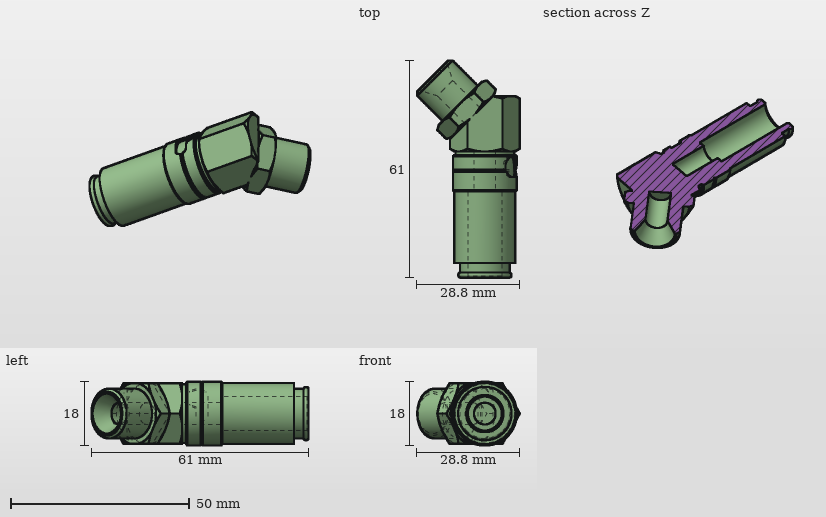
import cadquery as cq
import math

LIP_RADIUS = 7.5
LIP_END = 1.5
LIP_ROUND = LIP_END / 2
NECK_RADIUS = 7.0
NECK_END = 4.1
SLEEVE_RADIUS = 8.6
SLEEVE_END = 24.2
COLLAR_DIAMETER = 18.0
COLLAR_RADIUS = COLLAR_DIAMETER / 2
COLLAR_END = 34.4
COLLAR_CHAMFER = COLLAR_RADIUS - SLEEVE_RADIUS
COLLAR_GROOVE_PLACE = 30.0
THROAT_RADIUS = 8.3

HEX_FLATS = 17.0
HEX_CORNERS = HEX_FLATS / math.cos(math.pi / 6)
HEX_END_RADIUS = 8.6
HEX_CHAMFER_ANGLE = math.radians(30)
BODY_START = 35.5
BODY_END = 51.0

BEND_Y = 42.0
BEND_ANGLE = math.radians(45)
NUT_START = 4.75
NUT_END = 9.75
TUBE_RADIUS = 7.0
TUBE_CHAMFER = 0.85
TUBE_END = 20.7

BORE_RADIUS = 4.75
BORE_CHAMFER = 0.5
BORE_DEPTH = SLEEVE_END
PASSAGE_RADIUS = 3.05
PASSAGE_END = BODY_START
CONE_MOUTH_RADIUS = 5.6
CONE_DEPTH = 4.9

WINDOW_RADIUS = 2.9
WINDOW_Y = 31.2
WINDOW_ANGLE = 31
SLOT_RADIUS = 1.7
SLOT_Y = WINDOW_Y - WINDOW_RADIUS + SLOT_RADIUS
SLOT_END_ANGLE = -2

ANGLED_AXIS = cq.Vector(-math.sin(BEND_ANGLE), math.cos(BEND_ANGLE), 0)
STRAIGHT_PLANE = cq.Plane(origin=(0, 0, 0), xDir=(1, 0, 0), normal=(0, 1, 0))
ANGLED_PLANE = cq.Plane(origin=(0, BEND_Y, 0), xDir=(0, 0, 1), normal=ANGLED_AXIS.toTuple())


def disc(plane, start, end, radius):
    """Cylinder on the axis of a plane, between two distances along that axis."""
    return cq.Workplane(plane).workplane(offset=start).circle(radius).extrude(end - start)


def cone(plane, start, end, start_radius, end_radius):
    """Truncated cone on the axis of a plane, between two distances along that axis."""
    base = plane.toWorldCoords((0, 0, start))
    return cq.Workplane(cq.Solid.makeCone(start_radius, end_radius, end - start, base, plane.zDir))


def chamfered_hex(plane, start, end, corner_turn):
    """Hexagonal prism whose corners are coned off at both ends."""
    outer_radius = HEX_CORNERS / 2
    cone_height = (outer_radius - HEX_END_RADIUS) * math.tan(HEX_CHAMFER_ANGLE)
    prism = (
        cq.Workplane(plane)
        .workplane(offset=start)
        .transformed(rotate=(0, 0, corner_turn))
        .polygon(6, HEX_CORNERS)
        .extrude(end - start)
    )
    envelope = (
        disc(plane, start + cone_height, end - cone_height, outer_radius)
        .union(cone(plane, start, start + cone_height, HEX_END_RADIUS, outer_radius))
        .union(cone(plane, end - cone_height, end, outer_radius, HEX_END_RADIUS))
    )
    return prism.intersect(envelope)


def straight_leg():
    """Lip, neck, sleeve, grooved collar and throat turned about the Y axis."""
    leg = rounded_lip().union(disc(STRAIGHT_PLANE, LIP_END / 2, NECK_END, NECK_RADIUS))
    leg = leg.union(disc(STRAIGHT_PLANE, NECK_END, SLEEVE_END, SLEEVE_RADIUS))
    leg = leg.union(grooved_collar())
    return leg.union(disc(STRAIGHT_PLANE, SLEEVE_END, BODY_START, THROAT_RADIUS))


def rounded_lip():
    """Flat disc at the open end with a fully rounded rim."""
    return (
        cq.Workplane("XY")
        .lineTo(LIP_RADIUS - LIP_ROUND, 0)
        .radiusArc((LIP_RADIUS, LIP_ROUND), -LIP_ROUND)
        .radiusArc((LIP_RADIUS - LIP_ROUND, LIP_END), -LIP_ROUND)
        .lineTo(0, LIP_END)
        .close()
        .revolve(360, (0, 0, 0), (0, 1, 0))
    )


def radial_hole(y, angle, radius):
    """Cylinder pointing outward from the Y axis at an angle above +X."""
    turn = math.radians(angle)
    plane = cq.Plane(origin=(0, y, 0), xDir=(0, 1, 0), normal=(math.cos(turn), 0, math.sin(turn)))
    return disc(plane, 0, COLLAR_DIAMETER, radius)


def keyhole():
    """Cutter for the round window and the slot with a round end that leads away from it."""
    slot_sweep = (
        cq.Workplane("XY")
        .moveTo(COLLAR_RADIUS, SLOT_Y)
        .rect(COLLAR_DIAMETER, 2 * SLOT_RADIUS)
        .revolve(WINDOW_ANGLE - SLOT_END_ANGLE, (0, 0, 0), (0, -1, 0))
        .rotate((0, 0, 0), (0, 1, 0), -SLOT_END_ANGLE)
    )
    window = radial_hole(WINDOW_Y, WINDOW_ANGLE, WINDOW_RADIUS)
    slot_end = radial_hole(SLOT_Y, SLOT_END_ANGLE, SLOT_RADIUS)
    return window.union(slot_sweep).union(slot_end)


def grooved_collar():
    """Collar with chamfered ends, a V groove around it and a keyhole in its side."""
    collar = (
        cq.Workplane("XY")
        .moveTo(0, SLEEVE_END)
        .lineTo(SLEEVE_RADIUS, SLEEVE_END)
        .lineTo(COLLAR_RADIUS, SLEEVE_END + COLLAR_CHAMFER)
        .lineTo(COLLAR_RADIUS, COLLAR_GROOVE_PLACE - COLLAR_CHAMFER)
        .lineTo(SLEEVE_RADIUS, COLLAR_GROOVE_PLACE)
        .lineTo(COLLAR_RADIUS, COLLAR_GROOVE_PLACE + COLLAR_CHAMFER)
        .lineTo(COLLAR_RADIUS, COLLAR_END - COLLAR_CHAMFER)
        .lineTo(SLEEVE_RADIUS, COLLAR_END)
        .lineTo(0, COLLAR_END)
        .close()
        .revolve(360, (0, 0, 0), (0, 1, 0))
    )
    return collar.cut(keyhole())


def elbow_body():
    """Hexagon along the straight leg, cut off square to the angled leg behind the nut."""
    body = chamfered_hex(STRAIGHT_PLANE, BODY_START, BODY_END, 0)
    return body.cut(disc(ANGLED_PLANE, NUT_START, TUBE_END, 2 * HEX_CORNERS))


def angled_leg():
    """Hexagonal nut and the chamfered tube beyond it."""
    nut = chamfered_hex(ANGLED_PLANE, NUT_START, NUT_END, 30)
    tube = disc(ANGLED_PLANE, NUT_END, TUBE_END, TUBE_RADIUS)
    tube = tube.faces(cq.selectors.DirectionMinMaxSelector(ANGLED_AXIS)).chamfer(TUBE_CHAMFER)
    return nut.union(tube)


def straight_bore():
    """Chamfered bore from the lip, with a narrower blind passage behind it."""
    mouth = cone(STRAIGHT_PLANE, 0, BORE_CHAMFER, BORE_RADIUS + BORE_CHAMFER, BORE_RADIUS)
    bore = disc(STRAIGHT_PLANE, 0, BORE_DEPTH, BORE_RADIUS).union(mouth)
    return bore.union(disc(STRAIGHT_PLANE, 0, PASSAGE_END, PASSAGE_RADIUS))


def angled_bore():
    """Tapered seat in the tube end, with a blind passage behind it."""
    seat = cone(ANGLED_PLANE, TUBE_END - CONE_DEPTH, TUBE_END, PASSAGE_RADIUS, CONE_MOUTH_RADIUS)
    return disc(ANGLED_PLANE, NUT_START, TUBE_END, PASSAGE_RADIUS).union(seat)


solid = straight_leg().union(elbow_body()).union(angled_leg())
result = solid.cut(straight_bore()).cut(angled_bore())